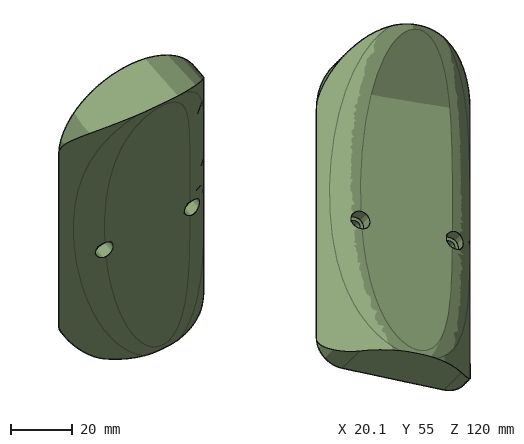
import cadquery as cq

length = 120.0
width = 55.0
depth = 20.2
half_width = width / 2

bottom_corner_radius = 9.2
waist_depth = 10.5
edge_fillet_radius = 10.0
overrun = 24.0

hole_diameter = 4.0
head_diameter = 6.5
head_floor = 6.0
hole_height = 49.5
hole_spacing = 34.0
hole_offset = 0.5


def arc_radius(chord, rise):
    """Radius of the circle with the given chord and rise."""
    return (chord**2 / 4 + rise**2) / (2 * rise)


def make_rounded_bar():
    """Bar along Z with a flat back at X = 0 and a circular front, longer than the part."""
    return (
        cq.Workplane("XY")
        .workplane(offset=-overrun)
        .moveTo(0, -half_width)
        .threePointArc((depth, 0), (0, half_width))
        .close()
        .extrude(length + 2 * overrun)
    )


def make_grip_cutter():
    """Cylinder along Y that hollows the front lengthwise, down to the waist depth."""
    radius = arc_radius(length, depth - waist_depth)
    return (
        cq.Workplane("XZ")
        .center(waist_depth + radius, length / 2)
        .circle(radius)
        .extrude(half_width, both=True)
    )


def make_outline():
    """Plate outline: full round top and two rounded bottom corners."""
    straight_top = length - half_width
    return (
        cq.Workplane("YZ")
        .moveTo(-half_width, 0)
        .lineTo(half_width, 0)
        .lineTo(half_width, straight_top)
        .threePointArc((0, length), (-half_width, straight_top))
        .close()
        .extrude(depth)
        .edges("|X and <Z")
        .fillet(bottom_corner_radius)
    )


def make_holes():
    """Two through holes along X, counterbored from the front for the screw heads."""
    half_spacing = hole_spacing / 2
    centers = [(hole_offset + side * half_spacing, hole_height) for side in (-1, 1)]
    shanks = cq.Workplane("YZ").pushPoints(centers).circle(hole_diameter / 2).extrude(depth)
    heads = (
        cq.Workplane("YZ")
        .workplane(offset=head_floor)
        .pushPoints(centers)
        .circle(head_diameter / 2)
        .extrude(depth - head_floor)
    )
    return shanks.union(heads)


hollowed_bar = make_rounded_bar().cut(make_grip_cutter())
rim_box = cq.selectors.BoxSelector(
    (waist_depth / 2, -half_width, -overrun / 2),
    (2 * depth, half_width, length + overrun / 2),
    boundingbox=True,
)
blended_bar = hollowed_bar.edges(rim_box).fillet(edge_fillet_radius)

result = blended_bar.intersect(make_outline()).cut(make_holes())